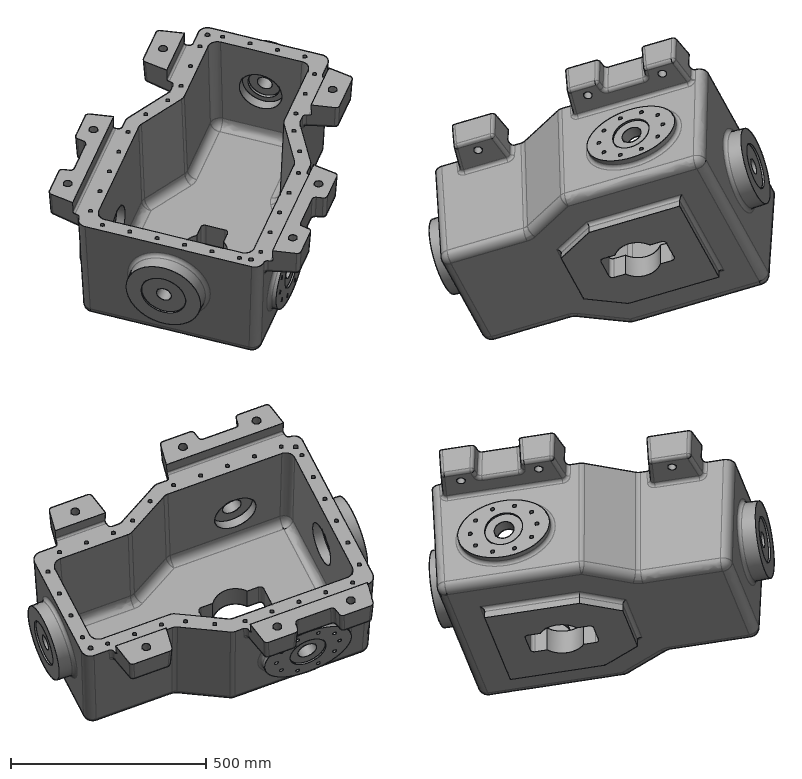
import cadquery as cq
import math

WIDE_HALF = 250.0
NARROW_HALF = 175.0
HALF_LENGTH = 390.0
SHOULDER_Y = 140.0
SHOULDER_ANGLE = 30.0
BODY_DEPTH = 330.0
WALL = 40.0
FLOOR_THICKNESS = 40.0
DRAFT = 2.0
BODY_ROUND = 25.0

PLATE_THICKNESS = 30.0
PLATE_HALF_WIDTH = 135.0
PLATE_Y_MIN = -275.0
PLATE_Y_MAX = 75.0
PLATE_SHOULDER_Y = -25.0
PLATE_FILLET = 10.0
OPENING_Y = -105.0
OPENING_DIAMETER = 120.0
SLOT_WIDTH = 72.0
SLOT_LENGTH = 180.0
SLOT_CORNER = 10.0

FOOT_RISE = 40.0
FOOT_EDGE_DEPTH = 38.0
FOOT_DRAFT = 3.0
FOOT_SIDE_ANGLE = 10.0
FOOT_UNDERSIDE_ANGLE = 5.0
FOOT_ROUND = 10.0
FOOT_STEP = 20.0
FOOT_STEP_FILLET = 6.0
FOOT_REACH = 90.0
FOOT_HOLE_INSET = 36.0
FOOT_HOLE_DIAMETER = 22.0
NARROW_FOOT_Y = 243.0
NARROW_FOOT_LENGTH = 141.0
WIDE_FOOT_Y = -192.5
WIDE_FOOT_LENGTH = 327.0
WIDE_FOOT_HOLE_SPACING = 205.0
NOTCH_DEPTH = 34.0
NOTCH_LENGTH = 107.0

END_BOSS_Y = 430.0
END_BOSS_Z = -140.0
END_BOSS_DIAMETER = 201.0
END_RECESS_DIAMETER = 120.0
END_INNER_DEPTH = 20.0
END_STEP_DIAMETER = 85.0
END_STEP_DEPTH = 8.0
END_BORE = 40.0

SIDE_BOSS_X = 265.0
SIDE_BOSS_Y = -192.5
SIDE_BOSS_Z = -185.0
SIDE_BOSS_LENGTH = 242.0
SIDE_BOSS_HEIGHT = 180.0
SIDE_RECESS_DIAMETER = 100.0
SIDE_INNER_DEPTH = 16.0
SIDE_BORE = 52.0
SIDE_BOLTS = [(88.0, 0.0), (74.0, 40.0), (29.0, 68.0)]

BOSS_FILLET = 10.0
RECESS_DEPTH = 5.0
INNER_RECESS_DIAMETER = 115.0

TAP_DIAMETER = 10.0
TAP_DEPTH = 25.0
DOWEL_DIAMETER = 12.0
BOLT_INSET = 20.0
BOLT_PITCH = 75.0
END_BOLT_PITCH = 74.0
NARROW_BOLT_Y = 243.5
WIDE_BOLT_Y = -182.0
SHOULDER_BOLT_Y = [108.0, 43.0]
DOWELS = [(-150.0, 364.0), (215.0, -366.0)]

MARGIN = 1.0

PLATE_BOTTOM = -BODY_DEPTH - PLATE_THICKNESS
FOOT_BLANK_DEPTH = FOOT_RISE + 70.0


def inset_outline(points, inset):
    """Move every side of a counter-clockwise polygon inwards by `inset`, keeping sharp corners."""
    moved = []
    for i, (x, y) in enumerate(points):
        before = points[i - 1]
        after = points[(i + 1) % len(points)]
        angle_in = math.atan2(y - before[1], x - before[0])
        angle_out = math.atan2(after[1] - y, after[0] - x)
        bisector = (math.sin(angle_in) + math.sin(angle_out), math.cos(angle_in) + math.cos(angle_out))
        scale = inset / (1 + math.cos(angle_out - angle_in))
        moved.append((x - bisector[0] * scale, y + bisector[1] * scale))
    return moved


def drafted_prism(points, top, depth, draft):
    """Prism that narrows downwards from z = top by the draft angle."""
    bottom = inset_outline(points, depth * math.tan(math.radians(draft)))
    prism = cq.Workplane("XY").workplane(offset=top).polyline(points).close()
    return prism.workplane(offset=-depth).polyline(bottom).close().loft(ruled=True, combine=True)


def mirrored_outline(right):
    """Close a +X half outline, listed from -Y to +Y, with its mirror image."""
    return right + [(-x, y) for x, y in reversed(right)]


def body_outline():
    lower_shoulder = SHOULDER_Y - (WIDE_HALF - NARROW_HALF) / math.tan(math.radians(SHOULDER_ANGLE))
    return mirrored_outline([
        (WIDE_HALF, -HALF_LENGTH),
        (WIDE_HALF, lower_shoulder),
        (NARROW_HALF, SHOULDER_Y),
        (NARROW_HALF, HALF_LENGTH),
    ])


def rounded_tub(outline, depth):
    """Drafted block with rounded upright edges and a rounded bottom rim."""
    tub = drafted_prism(outline, 0, depth, DRAFT)
    tub = tub.edges("not(<Z or >Z)").fillet(BODY_ROUND)
    return tub.faces("<Z").edges().fillet(BODY_ROUND)


def make_plate():
    """Pad under the floor, narrowed at its +Y end along the shoulder angle."""
    slant = (PLATE_Y_MAX - PLATE_SHOULDER_Y) * math.tan(math.radians(SHOULDER_ANGLE))
    outline = mirrored_outline([
        (PLATE_HALF_WIDTH, PLATE_Y_MIN),
        (PLATE_HALF_WIDTH, PLATE_SHOULDER_Y),
        (PLATE_HALF_WIDTH - slant, PLATE_Y_MAX),
    ])
    plate = cq.Workplane("XY").workplane(offset=PLATE_BOTTOM).polyline(outline).close()
    return plate.extrude(PLATE_THICKNESS)


def foot_outline(edge_x, center_y, length, notched):
    """Outline of a foot on the +X side of a body edge at edge_x, rooted inside the wall."""
    root_x = edge_x - WALL / 2
    inner_x = edge_x + FOOT_STEP
    outer_x = edge_x + FOOT_REACH
    slope = math.tan(math.radians(FOOT_SIDE_ANGLE))
    root_half = length / 2 + (inner_x - root_x) * slope
    tip_half = length / 2 - (outer_x - inner_x) * slope
    lower = [(root_x, -root_half), (outer_x, -tip_half)]
    if notched:
        notch_half = NOTCH_LENGTH / 2
        mouth_half = notch_half + NOTCH_DEPTH * slope
        lower.append((outer_x, -mouth_half))
        lower.append((outer_x - NOTCH_DEPTH, -notch_half))
    upper = [(x, -y) for x, y in reversed(lower)]
    return [(x, y + center_y) for x, y in lower + upper]


def make_foot(edge_x, center_y, length, notched):
    """Mounting foot with drafted sides, rounded corners and a sloping underside."""
    inner_x = edge_x + FOOT_STEP
    outer_x = edge_x + FOOT_REACH
    outline = foot_outline(edge_x, center_y, length, notched)
    foot = drafted_prism(outline, FOOT_RISE, FOOT_BLANK_DEPTH, FOOT_DRAFT)
    corners = cq.selectors.BoxSelector(
        (inner_x + FOOT_ROUND, -HALF_LENGTH, -FOOT_BLANK_DEPTH), (outer_x, HALF_LENGTH, FOOT_RISE))
    foot = foot.edges("not(<Z or >Z)").edges(corners).fillet(FOOT_ROUND)

    run = FOOT_REACH + WALL
    slope_drop = run * math.tan(math.radians(FOOT_UNDERSIDE_ANGLE))
    below = cq.Workplane("XZ", origin=(0, HALF_LENGTH, 0)).polyline([
        (outer_x, -FOOT_EDGE_DEPTH),
        (outer_x - run, -FOOT_EDGE_DEPTH - slope_drop),
        (outer_x - run, -BODY_DEPTH),
        (outer_x, -BODY_DEPTH),
    ]).close().extrude(2 * HALF_LENGTH)
    foot = foot.cut(below).faces("<Z").edges().fillet(FOOT_ROUND)

    clearance = cq.Workplane("XY").box(inner_x, 2 * HALF_LENGTH, FOOT_RISE, centered=(False, True, False))
    return foot.cut(clearance)


def on_both_sides(shape):
    return shape.union(shape.mirror("YZ"))


def make_feet():
    narrow = make_foot(NARROW_HALF, NARROW_FOOT_Y, NARROW_FOOT_LENGTH, notched=False)
    wide = make_foot(WIDE_HALF, WIDE_FOOT_Y, WIDE_FOOT_LENGTH, notched=True)
    return on_both_sides(narrow.union(wide))


def make_side_bosses():
    """Oval bosses, grown from inside the wall out to their faces."""
    root = WIDE_HALF - WALL / 2
    boss = cq.Workplane("YZ", origin=(root, SIDE_BOSS_Y, SIDE_BOSS_Z))
    boss = boss.ellipse(SIDE_BOSS_LENGTH / 2, SIDE_BOSS_HEIGHT / 2).extrude(SIDE_BOSS_X - root)
    return on_both_sides(boss)


def make_end_bosses():
    """Round bosses, grown from inside the end walls out to their faces."""
    length = END_BOSS_Y - HALF_LENGTH + WALL / 2
    root_radius = END_BOSS_DIAMETER / 2 + length * math.tan(math.radians(DRAFT))
    boss = cq.Workplane("XZ", origin=(0, length - END_BOSS_Y, END_BOSS_Z))
    boss = boss.circle(root_radius).extrude(length, taper=DRAFT)
    return boss.union(boss.mirror("XZ"))


def side_bolt_points():
    """Ten bolt places around the oval, from one quarter of the ring."""
    return sorted({(sy * y, sz * z) for y, z in SIDE_BOLTS for sy in (-1, 1) for sz in (-1, 1)})


def cut_end_bores(part):
    """Stepped bores through both end bosses, recessed outside and inside the wall."""
    axis = cq.Workplane("XZ", origin=(0, 0, END_BOSS_Z))
    inner_floor = HALF_LENGTH - WALL + END_INNER_DEPTH
    steps = [
        (END_BORE, END_BOSS_Y),
        (INNER_RECESS_DIAMETER, inner_floor),
        (END_STEP_DIAMETER, inner_floor + END_STEP_DEPTH),
    ]
    for diameter, reach in steps:
        part = part.cut(axis.circle(diameter / 2).extrude(reach, both=True))
    recess = cq.Workplane("XZ", origin=(0, -END_BOSS_Y, END_BOSS_Z))
    recess = recess.circle(END_RECESS_DIAMETER / 2).extrude(-RECESS_DEPTH)
    return part.cut(recess).cut(recess.mirror("XZ"))


def cut_side_bores(part):
    """Bores through both oval bosses, recessed on both faces, with a ring of tapped holes."""
    axis = cq.Workplane("YZ", origin=(0, SIDE_BOSS_Y, SIDE_BOSS_Z))
    inner_floor = WIDE_HALF - WALL + SIDE_INNER_DEPTH
    for diameter, reach in ((SIDE_BORE, SIDE_BOSS_X), (INNER_RECESS_DIAMETER, inner_floor)):
        part = part.cut(axis.circle(diameter / 2).extrude(reach, both=True))
    face = cq.Workplane("YZ", origin=(SIDE_BOSS_X, SIDE_BOSS_Y, SIDE_BOSS_Z))
    recess = face.circle(SIDE_RECESS_DIAMETER / 2).extrude(-RECESS_DEPTH)
    taps = face.pushPoints(side_bolt_points()).circle(TAP_DIAMETER / 2).extrude(-TAP_DEPTH)
    cutter = recess.union(taps)
    return part.cut(cutter).cut(cutter.mirror("YZ"))


def flange_bolt_points():
    points = []
    for x in [END_BOLT_PITCH * k for k in (-2.5, -1.5, -0.5, 0.5, 1.5, 2.5)]:
        points.append((x, BOLT_INSET - HALF_LENGTH))
        if abs(x) < NARROW_HALF - BOLT_INSET:
            points.append((x, HALF_LENGTH - BOLT_INSET))
    edge = inset_outline(body_outline(), BOLT_INSET)
    (wide_x, _), (_, lower_y), (narrow_x, upper_y), _ = edge[:4]
    for side in (-1, 1):
        points += [(side * narrow_x, NARROW_BOLT_Y + BOLT_PITCH * k) for k in (-1, 0, 1)]
        points += [(side * wide_x, WIDE_BOLT_Y + BOLT_PITCH * k) for k in (-2, -1, 0, 1, 2)]
        for y in SHOULDER_BOLT_Y:
            x = narrow_x + (upper_y - y) * (wide_x - narrow_x) / (upper_y - lower_y)
            points.append((side * x, y))
    return points


def cut_flange_holes(part):
    flange = cq.Workplane("XY")
    part = part.cut(flange.pushPoints(flange_bolt_points()).circle(TAP_DIAMETER / 2).extrude(-TAP_DEPTH))
    return part.cut(flange.pushPoints(DOWELS).circle(DOWEL_DIAMETER / 2).extrude(-TAP_DEPTH))


def cut_foot_holes(part):
    narrow_x = NARROW_HALF + FOOT_REACH - FOOT_HOLE_INSET
    wide_x = WIDE_HALF + FOOT_REACH - FOOT_HOLE_INSET
    points = []
    for side in (-1, 1):
        points.append((side * narrow_x, NARROW_FOOT_Y))
        for end in (-1, 1):
            points.append((side * wide_x, WIDE_FOOT_Y + end * WIDE_FOOT_HOLE_SPACING / 2))
    holes = cq.Workplane("XY").workplane(offset=FOOT_RISE).pushPoints(points)
    return part.cut(holes.circle(FOOT_HOLE_DIAMETER / 2).extrude(-FOOT_BLANK_DEPTH))


def cut_floor_opening(part):
    start = cq.Workplane("XY", origin=(0, OPENING_Y, PLATE_BOTTOM))
    slot = start.rect(SLOT_WIDTH, SLOT_LENGTH).extrude(BODY_DEPTH).edges("|Z").fillet(SLOT_CORNER)
    return part.cut(slot).cut(start.circle(OPENING_DIAMETER / 2).extrude(BODY_DEPTH))


def fillet_box(part, low, high, radius):
    """Fillet every edge whose centre lies in the box between two corners."""
    return part.edges(cq.selectors.BoxSelector(low, high)).fillet(radius)


def fillet_plate_root(part):
    """Round where the plate meets the underside of the floor."""
    low = (-PLATE_HALF_WIDTH - MARGIN, PLATE_Y_MIN - MARGIN, -BODY_DEPTH - MARGIN)
    high = (PLATE_HALF_WIDTH + MARGIN, PLATE_Y_MAX + MARGIN, -BODY_DEPTH + MARGIN)
    return fillet_box(part, low, high, PLATE_FILLET)


def fillet_boss_roots(part):
    """Round where the bosses meet the drafted walls."""
    lean = BODY_DEPTH * math.tan(math.radians(DRAFT))
    end_reach = END_BOSS_DIAMETER / 2 + BOSS_FILLET
    end_z = (END_BOSS_Z - end_reach, END_BOSS_Z + end_reach)
    side_y = (SIDE_BOSS_Y - SIDE_BOSS_LENGTH / 2, SIDE_BOSS_Y + SIDE_BOSS_LENGTH / 2)
    side_z = (SIDE_BOSS_Z - SIDE_BOSS_HEIGHT / 2, SIDE_BOSS_Z + SIDE_BOSS_HEIGHT / 2)
    for side in (-1, 1):
        part = fillet_box(part, (-end_reach, side * (HALF_LENGTH - lean), end_z[0]),
                          (end_reach, side * HALF_LENGTH, end_z[1]), BOSS_FILLET)
        part = fillet_box(part, (side * (WIDE_HALF - lean), side_y[0], side_z[0]),
                          (side * WIDE_HALF, side_y[1], side_z[1]), BOSS_FILLET)
    return part


def fillet_foot_roots(part):
    """Round where the feet meet the walls, and where they step up from the flange."""
    feet = [(NARROW_HALF, NARROW_FOOT_Y, NARROW_FOOT_LENGTH), (WIDE_HALF, WIDE_FOOT_Y, WIDE_FOOT_LENGTH)]
    for edge_x, center_y, length in feet:
        y_min = center_y - length / 2 - FOOT_ROUND
        y_max = center_y + length / 2 + FOOT_ROUND
        wall_x = edge_x - FOOT_BLANK_DEPTH * math.tan(math.radians(DRAFT))
        step_x = edge_x + FOOT_STEP
        for side in (-1, 1):
            part = fillet_box(part, (side * wall_x, y_min, -FOOT_BLANK_DEPTH),
                              (side * edge_x, y_max, -MARGIN), FOOT_ROUND)
            part = fillet_box(part, (side * step_x - MARGIN, center_y - MARGIN, -MARGIN),
                              (side * step_x + MARGIN, center_y + MARGIN, MARGIN), FOOT_STEP_FILLET)
    return part


part = rounded_tub(body_outline(), BODY_DEPTH)
part = fillet_plate_root(part.union(make_plate()))
part = fillet_boss_roots(part.union(make_end_bosses()).union(make_side_bosses()))
part = fillet_foot_roots(part.union(make_feet()))
part = part.cut(rounded_tub(inset_outline(body_outline(), WALL), BODY_DEPTH - FLOOR_THICKNESS))
part = cut_floor_opening(part)
part = cut_end_bores(part)
part = cut_side_bores(part)
part = cut_flange_holes(part)
result = cut_foot_holes(part)